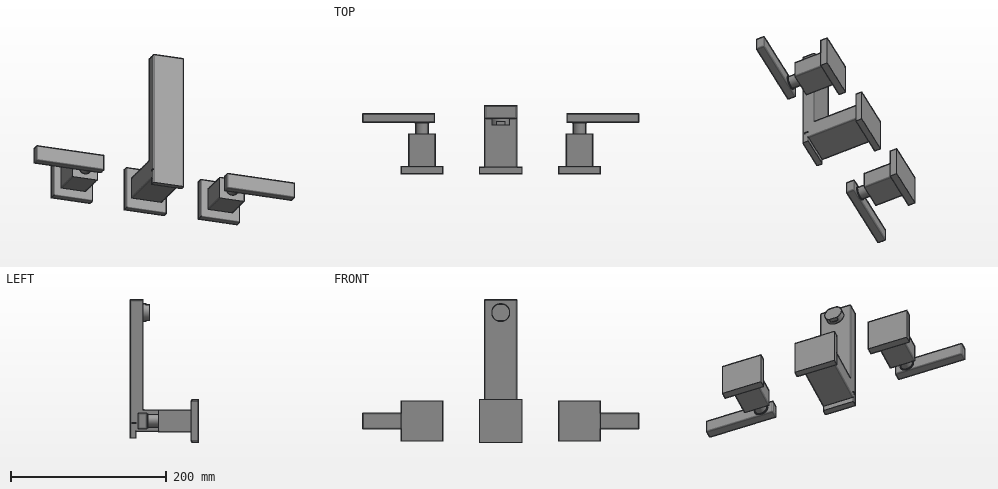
import cadquery as cq


OVERALL_WIDTH = 355.5

SPOUT_PLATE_WIDTH = 55.0
SPOUT_PLATE_HEIGHT = 56.0
SPOUT_PLATE_THICKNESS = 8.5
SPOUT_WIDTH = 42.0
SPOUT_REACH = 88.0
SPOUT_TOP = 184.2
ARM_THICKNESS = 16.7
NECK_BOTTOM = 14.2
NECK_TOP = 42.3
LIP_BOTTOM = 6.0
LIP_THICKNESS = 8.0
SPOUT_EDGE_RADIUS = 1.0
ARM_TOP_SIDE_RADIUS = 1.8
INNER_CORNER_RADIUS = 1.5
AXIS_Z = SPOUT_PLATE_HEIGHT / 2

OUTLET_DIAMETER = 23.0
OUTLET_LENGTH = 8.5
OUTLET_DROP = 16.7
FLAT_SPACING = 20.5
FLAT_LENGTH = 5.0

SLOT_LENGTH = 5.0
SLOT_HEIGHT = 1.0
SLOT_Y = 83.0
SLOT_Z = 25.2

HANDLE_OFFSET = 101.5
HANDLE_PLATE_WIDTH = 53.7
HANDLE_PLATE_HEIGHT = 52.0
HANDLE_PLATE_THICKNESS = 9.5
BLOCK_WIDTH = 34.5
BLOCK_HEIGHT = 28.8
BLOCK_END_Y = 51.2
STEM_DIAMETER = 16.5
COLLAR_DIAMETER = 18.5
COLLAR_THICKNESS = 1.0
LEVER_START_Y = 66.0
LEVER_THICKNESS = 11.5
LEVER_HEIGHT = 20.5
LEVER_OVERHANG = 16.5
HANDLE_EDGE_RADIUS = 1.0

PLATE_EDGE_RADIUS = 0.7


def block(width, height, y_start, y_end, x_center, z_center):
    """Box given by its X and Z sizes and centre and by its two ends along Y."""
    length = y_end - y_start
    return cq.Workplane("XY").box(width, length, height).translate(
        (x_center, (y_start + y_end) / 2, z_center)
    )


def rod(diameter, y_start, y_end, x_center, z_center):
    """Cylinder along Y."""
    axis = cq.Vector(0, 1, 0)
    start = cq.Vector(x_center, y_start, z_center)
    return cq.Workplane(cq.Solid.makeCylinder(diameter / 2, y_end - y_start, start, axis))


def wall_plate(width, height, thickness, x_center, z_center):
    """Plate against the wall with a softened outer rim."""
    plate = block(width, height, 0, thickness, x_center, z_center)
    return plate.faces(">Y").edges().fillet(PLATE_EDGE_RADIUS)


def spout_arm():
    """L-shaped neck and upright arm, with a short lip below the neck."""
    arm_start = SPOUT_REACH - ARM_THICKNESS
    lip_start = SPOUT_REACH - LIP_THICKNESS
    outline = [
        (SPOUT_PLATE_THICKNESS, NECK_BOTTOM),
        (lip_start, NECK_BOTTOM),
        (lip_start, LIP_BOTTOM),
        (SPOUT_REACH, LIP_BOTTOM),
        (SPOUT_REACH, SPOUT_TOP),
        (arm_start, SPOUT_TOP),
        (arm_start, NECK_TOP),
        (SPOUT_PLATE_THICKNESS, NECK_TOP),
    ]
    arm = cq.Workplane("YZ").polyline(outline).close().extrude(SPOUT_WIDTH / 2, both=True)
    inner_corner = cq.selectors.NearestToPointSelector((0, arm_start, NECK_TOP))
    arm = arm.edges("|X").edges(inner_corner).fillet(INNER_CORNER_RADIUS)
    arm = arm.faces(">Z").edges("|Y").fillet(ARM_TOP_SIDE_RADIUS)
    rims = arm.faces("<X or >X or >Y or >Z").edges("not <Y").edges("not <Z")
    return rims.fillet(SPOUT_EDGE_RADIUS)


def outlet():
    """Round outlet with spanner flats above and below its free end."""
    root = SPOUT_REACH - ARM_THICKNESS
    tip = root - OUTLET_LENGTH
    z_center = SPOUT_TOP - OUTLET_DROP
    barrel = rod(OUTLET_DIAMETER, tip, root, 0, z_center)
    flat_zone = block(OUTLET_DIAMETER, OUTLET_DIAMETER, tip, tip + FLAT_LENGTH, 0, z_center)
    kept_zone = block(OUTLET_DIAMETER, FLAT_SPACING, tip, tip + FLAT_LENGTH, 0, z_center)
    return barrel.cut(flat_zone.cut(kept_zone))


def make_spout():
    plate = wall_plate(SPOUT_PLATE_WIDTH, SPOUT_PLATE_HEIGHT, SPOUT_PLATE_THICKNESS, 0, AXIS_Z)
    slot = block(SPOUT_WIDTH, SLOT_HEIGHT, SLOT_Y - SLOT_LENGTH / 2, SLOT_Y + SLOT_LENGTH / 2, 0, SLOT_Z)
    return plate.union(spout_arm()).union(outlet()).cut(slot)


def make_lever(side):
    """Flat lever pointing outwards, reaching a little past the stem on the inside."""
    inner_end = HANDLE_OFFSET - LEVER_OVERHANG
    outer_end = OVERALL_WIDTH / 2
    lever = block(
        outer_end - inner_end,
        LEVER_HEIGHT,
        LEVER_START_Y,
        LEVER_START_Y + LEVER_THICKNESS,
        side * (inner_end + outer_end) / 2,
        AXIS_Z,
    )
    return lever.edges().fillet(HANDLE_EDGE_RADIUS)


def make_handle(side):
    """Handle on one side: side is -1 for the -X handle and 1 for the +X handle."""
    x_center = side * HANDLE_OFFSET
    plate = wall_plate(
        HANDLE_PLATE_WIDTH, HANDLE_PLATE_HEIGHT, HANDLE_PLATE_THICKNESS, x_center, AXIS_Z
    )
    body = block(BLOCK_WIDTH, BLOCK_HEIGHT, HANDLE_PLATE_THICKNESS, BLOCK_END_Y, x_center, AXIS_Z)
    body = body.edges("|Y").fillet(HANDLE_EDGE_RADIUS)
    stem = rod(STEM_DIAMETER, BLOCK_END_Y, LEVER_START_Y, x_center, AXIS_Z)
    collar = rod(COLLAR_DIAMETER, LEVER_START_Y - COLLAR_THICKNESS, LEVER_START_Y, x_center, AXIS_Z)
    return plate.union(body).union(stem).union(collar).union(make_lever(side))


spout = make_spout()
handles = [make_handle(side) for side in (-1, 1)]

result = cq.Compound.makeCompound([spout.val(), *[handle.val() for handle in handles]])